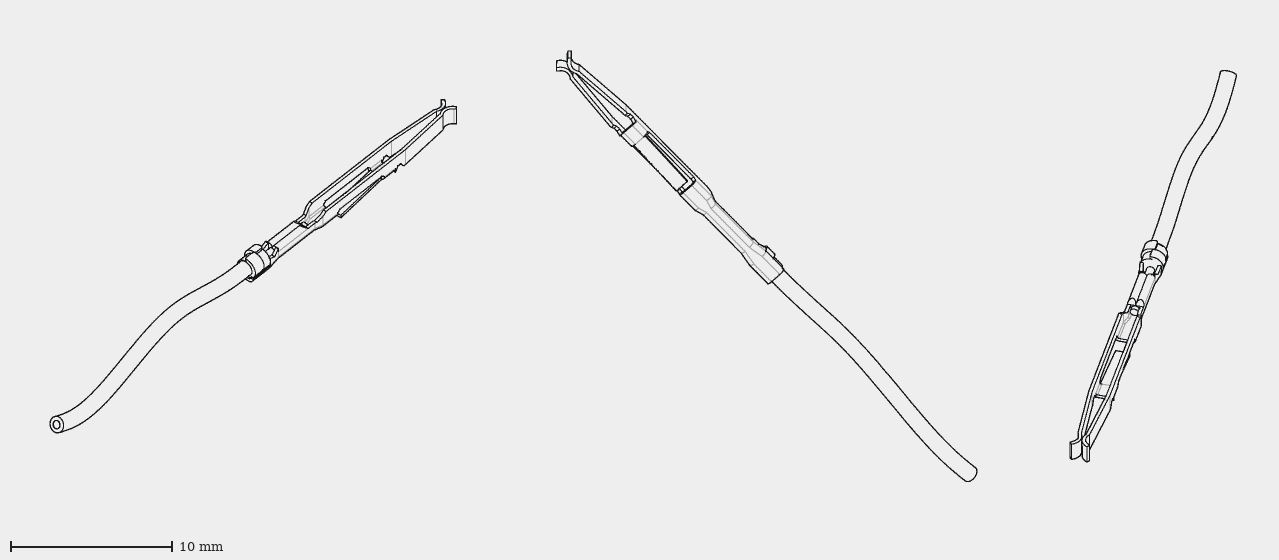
import cadquery as cq
import math

SHEET = 0.22
BEND_RADIUS = 0.35

BODY_HALF_WIDTH = 1.4 / 2
BODY_HEIGHT = 1.27
NECK_HALF_WIDTH = 0.52
NECK_HEIGHT = 0.8
BODY_START = 5.98
BODY_END = 12.8
SLOPE_START = 12.52
SLOPE_END = 13.23
NECK_START = 13.38
CONTACT_END = 19.45
RELIEF_START = 5.2
RELIEF_HEIGHT = 0.37
RELIEF_SLOPE = 0.25

ARM_BEND = 5.05
ARM_KNEE = 1.12
ARM_KNEE_HALF_WIDTH = 0.37
PINCH = 0.6
PINCH_GAP = 0.05
FLARE_START = 0.25
FLARE_START_HALF_WIDTH = 0.52
FLARE_HALF_WIDTH = 0.65
FLARE_LIP = 0.15

WINDOW_START = 7.03
WINDOW_END = 11.4
WINDOW_HEIGHT = 0.55
WINDOW_CHAMFER = 0.2
TONGUE_END = 10.87
TONGUE_DROP = 0.55
TONGUE_THICKNESS = SHEET

CRIMP_START = 14.0
CRIMP_RAMP = 0.35
CRIMP_END = 16.8
CRIMP_HEIGHT = 1.05
DIP_STATION = 17.25
DIP_HEIGHT = 0.7
REAR_WALL_HEIGHT = 0.97

TAB_START = 17.8
TAB_SPLIT = 18.5
TAB_END = 19.32
TAB_RADIUS = 1.45 / 2
TAB_OFFSET = 0.07
TAB_OVERLAP = 0.15
TAB_CORNER = 0.15
CRADLE_RADIUS = BODY_HALF_WIDTH
TAB_AXIS_HEIGHT = 0.85
STRIP_HEIGHT = 0.37

WIRE_RADIUS = 0.52
WIRE_HEIGHT = 0.82
CONDUCTOR_RADIUS = 0.25
CONDUCTOR_START = 13.7
CONDUCTOR_PROUD = 0.05
WIRE_RISE = (21.5, 0.95)
WIRE_CREST = (25.9, 1.65)
WIRE_MIDDLE = (30.12, 0.55)
WIRE_TROUGH = (34.2, -0.65)
WIRE_TIP_STATION = 37.15
WIRE_TIP_HEIGHT = 0.05
WIRE_TIP_ANGLE = math.radians(26)


def side_plane():
    """Lengthwise middle plane: local x is the station, local y is Z, and it extrudes toward -X."""
    return cq.Workplane(cq.Plane(origin=(0, 0, 0), xDir=(0, -1, 0), normal=(-1, 0, 0)))


def cross_plane(station):
    """Plane across the contact: local x is X, local y is Z, and it extrudes toward -Y."""
    return cq.Workplane("XZ", origin=(0, -station, 0))


def channel_block(half_widths, floor, radius):
    """Block with the given (station, half width) plan and rounded lower side edges."""
    right = [(half, -station) for station, half in half_widths]
    left = [(-half, -station) for station, half in reversed(half_widths)]
    plan = cq.Workplane("XY", origin=(0, 0, floor)).polyline(right + left).close()
    block = plan.extrude(BODY_HEIGHT - floor)
    return block.faces("<Z").edges("not(#Y)").fillet(radius)


def make_channel():
    """Folded U channel from the body to the rear, trimmed to its side outline."""
    plan = [
        (BODY_START, BODY_HALF_WIDTH),
        (BODY_END, BODY_HALF_WIDTH),
        (NECK_START, NECK_HALF_WIDTH),
        (CRIMP_END, NECK_HALF_WIDTH),
        (TAB_START, BODY_HALF_WIDTH),
        (CONTACT_END, BODY_HALF_WIDTH),
    ]
    inner_plan = [(station, half - SHEET) for station, half in plan]
    channel = channel_block(plan, 0, BEND_RADIUS).cut(
        channel_block(inner_plan, SHEET, BEND_RADIUS - SHEET)
    )
    outline = (
        side_plane()
        .moveTo(BODY_START, 0)
        .lineTo(BODY_START, BODY_HEIGHT)
        .lineTo(SLOPE_START, BODY_HEIGHT)
        .lineTo(SLOPE_END, NECK_HEIGHT)
        .lineTo(CRIMP_END, NECK_HEIGHT)
        .lineTo(CRIMP_END, CRIMP_HEIGHT)
        .lineTo(DIP_STATION, DIP_HEIGHT)
        .lineTo(TAB_START, REAR_WALL_HEIGHT)
        .lineTo(TAB_START, STRIP_HEIGHT)
        .lineTo(CONTACT_END, STRIP_HEIGHT)
        .lineTo(CONTACT_END, 0)
        .close()
        .extrude(BODY_HALF_WIDTH, both=True)
    )
    window_length = WINDOW_END - WINDOW_START
    window = (
        side_plane()
        .center(WINDOW_START + window_length / 2, 0)
        .rect(window_length, 2 * WINDOW_HEIGHT)
        .extrude(BODY_HALF_WIDTH, both=True)
        .edges("|X")
        .chamfer(WINDOW_CHAMFER)
    )
    return channel.intersect(outline).cut(window)


def make_arm():
    """Spring arm on the +X side: straight, bent inward, then flared out at the nose."""
    inner = BODY_HALF_WIDTH - SHEET
    arm = (
        cq.Workplane("XY")
        .moveTo(BODY_HALF_WIDTH, -BODY_START)
        .lineTo(BODY_HALF_WIDTH, -ARM_BEND)
        .lineTo(ARM_KNEE_HALF_WIDTH, -ARM_KNEE)
        .threePointArc((PINCH_GAP + SHEET, -PINCH), (FLARE_START_HALF_WIDTH, -FLARE_START))
        .lineTo(FLARE_HALF_WIDTH, -FLARE_LIP)
        .lineTo(FLARE_HALF_WIDTH - FLARE_LIP, 0)
        .threePointArc((PINCH_GAP, -PINCH), (ARM_KNEE_HALF_WIDTH - SHEET, -ARM_KNEE))
        .lineTo(inner, -ARM_BEND)
        .lineTo(inner, -BODY_START)
        .close()
        .extrude(BODY_HEIGHT)
    )
    relief = (
        side_plane()
        .moveTo(RELIEF_START, 0)
        .lineTo(RELIEF_START + RELIEF_SLOPE, RELIEF_HEIGHT)
        .lineTo(BODY_START - RELIEF_SLOPE, RELIEF_HEIGHT)
        .lineTo(BODY_START, 0)
        .close()
        .extrude(BODY_HALF_WIDTH, both=True)
    )
    return arm.cut(relief)


def make_tongue():
    """Locking tongue bent down out of the floor."""
    return (
        side_plane()
        .moveTo(WINDOW_START, 0)
        .lineTo(TONGUE_END, -TONGUE_DROP)
        .lineTo(TONGUE_END, TONGUE_THICKNESS - TONGUE_DROP)
        .lineTo(WINDOW_START, TONGUE_THICKNESS)
        .close()
        .extrude(BODY_HALF_WIDTH - SHEET, both=True)
    )


def make_conductor_crimp():
    """Closed crimp with two rolled lobes meeting in a seam on top, ramped at its mouth."""
    lobe = NECK_HALF_WIDTH / 2
    shoulder = CRIMP_HEIGHT - lobe
    crimp = (
        cross_plane(CRIMP_START)
        .moveTo(-NECK_HALF_WIDTH, shoulder)
        .threePointArc((-lobe, CRIMP_HEIGHT), (0, shoulder))
        .threePointArc((lobe, CRIMP_HEIGHT), (NECK_HALF_WIDTH, shoulder))
        .lineTo(NECK_HALF_WIDTH, BEND_RADIUS)
        .radiusArc((NECK_HALF_WIDTH - BEND_RADIUS, 0), BEND_RADIUS)
        .lineTo(BEND_RADIUS - NECK_HALF_WIDTH, 0)
        .radiusArc((-NECK_HALF_WIDTH, BEND_RADIUS), BEND_RADIUS)
        .close()
        .extrude(CRIMP_END - CRIMP_START)
    )
    ramp = (
        side_plane()
        .moveTo(CRIMP_START, NECK_HEIGHT)
        .lineTo(CRIMP_START + CRIMP_RAMP, CRIMP_HEIGHT)
        .lineTo(CRIMP_START, CRIMP_HEIGHT)
        .close()
        .extrude(NECK_HALF_WIDTH, both=True)
    )
    return crimp.cut(ramp)


def make_tab(start, end, side):
    """Insulation tab rolled over the wire from one side (+1 for +X, -1 for -X)."""
    length = end - start
    roll = cross_plane(start).center(side * TAB_OFFSET, TAB_AXIS_HEIGHT).circle(TAB_RADIUS).extrude(length)
    covered_side = (
        cross_plane(start)
        .center(side * (TAB_RADIUS - TAB_OVERLAP), TAB_AXIS_HEIGHT)
        .rect(2 * TAB_RADIUS, 2 * TAB_RADIUS)
        .extrude(length)
        .edges("|Z")
        .fillet(TAB_CORNER)
    )
    return roll.intersect(covered_side.translate((side * TAB_OFFSET, 0, 0)))


def make_tab_cradle():
    """Round sheet cradle closed around the wire beneath both tabs."""
    cradle = cross_plane(TAB_START).center(0, CRADLE_RADIUS).circle(CRADLE_RADIUS)
    return cradle.extrude(TAB_END - TAB_START)


def make_wire():
    """Insulated wire in a gentle S, with its conductor showing at both ends."""
    tip_direction = (math.cos(WIRE_TIP_ANGLE), math.sin(WIRE_TIP_ANGLE))
    tip = (WIRE_TIP_STATION, WIRE_TIP_HEIGHT)
    path = (
        side_plane()
        .moveTo(TAB_START, WIRE_HEIGHT)
        .spline(
            [WIRE_RISE, WIRE_CREST, WIRE_MIDDLE, WIRE_TROUGH, tip],
            tangents=[(1, 0), tip_direction],
            includeCurrent=True,
        )
    )
    insulation = cross_plane(TAB_START).center(0, WIRE_HEIGHT).circle(WIRE_RADIUS).sweep(path)
    end_plane = cq.Plane(
        origin=(0, -WIRE_TIP_STATION, WIRE_TIP_HEIGHT),
        xDir=(1, 0, 0),
        normal=(0, -tip_direction[0], tip_direction[1]),
    )
    end_conductor = cq.Workplane(end_plane).circle(CONDUCTOR_RADIUS).extrude(CONDUCTOR_PROUD)
    crimped_conductor = (
        cross_plane(CONDUCTOR_START)
        .center(0, SHEET + CONDUCTOR_RADIUS)
        .circle(CONDUCTOR_RADIUS)
        .extrude(TAB_SPLIT - CONDUCTOR_START)
    )
    return insulation.union(end_conductor).union(crimped_conductor)


arm = make_arm()
result = (
    make_channel()
    .union(arm)
    .union(arm.mirror("YZ"))
    .union(make_tongue())
    .union(make_conductor_crimp())
    .union(make_tab(TAB_START, TAB_SPLIT, -1))
    .union(make_tab(TAB_SPLIT, TAB_END, 1))
    .union(make_tab_cradle())
    .union(make_wire())
)